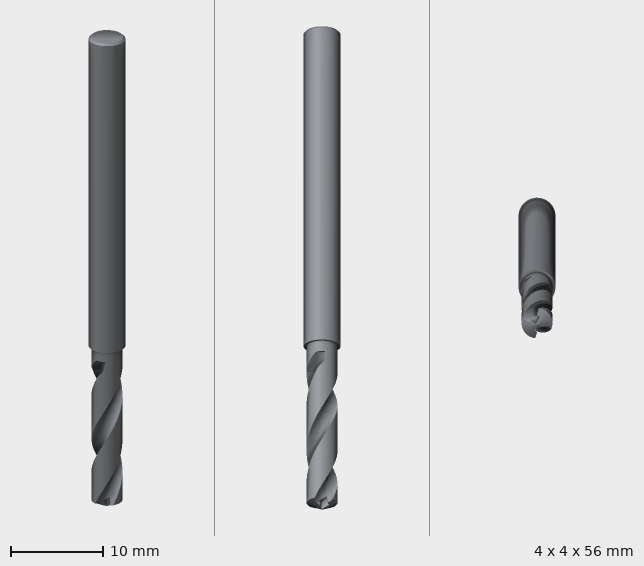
import cadquery as cq
import math

TOTAL_LENGTH = 56.0
SHANK_DIAMETER = 4.0
SHANK_START = 19.15
SHANK_CHAMFER = 0.2

DRILL_DIAMETER = 3.35
DRILL_RADIUS = DRILL_DIAMETER / 2
POINT_ANGLE = 130.0
POINT_HEIGHT = DRILL_RADIUS / math.tan(math.radians(POINT_ANGLE / 2))
CUTTING_LENGTH = 11.2

FLUTE_COUNT = 2
HELIX_ANGLE = 30.0
HELIX_PITCH = math.pi * DRILL_DIAMETER / math.tan(math.radians(HELIX_ANGLE))
FLUTE_RADIUS = 1.05
FLUTE_OFFSET = 1.7
FLUTE_START_ANGLE = 102.0
HELIX_END = 16.1
FLUTE_END = 17.9
RUNOUT_SHIFT = 1.85

GASH_WEB = 0.1
GASH_PEAK_X = 0.7
GASH_PEAK_HEIGHT = 1.35
GASH_SIDE_X = 0.85
GASH_SIDE_HEIGHT = 0.85


def make_flute(start_angle):
    """Cutter for one flute: a twisted round section with a straight, tangent run-out."""
    twist = 360 * HELIX_END / HELIX_PITCH
    base = cq.Wire.makeCircle(FLUTE_RADIUS, cq.Vector(FLUTE_OFFSET, 0, 0), cq.Vector(0, 0, 1))
    helix = cq.Solid.extrudeLinearWithRotation(
        base, [], cq.Vector(0, 0, 0), cq.Vector(0, 0, HELIX_END), twist
    )

    runout_height = FLUTE_END - HELIX_END
    section = cq.Wire.makeCircle(
        FLUTE_RADIUS, cq.Vector(FLUTE_OFFSET, 0, HELIX_END), cq.Vector(0, 0, 1)
    )
    runout = cq.Solid.extrudeLinear(section, [], cq.Vector(0, RUNOUT_SHIFT, runout_height))
    runout = runout.rotate(cq.Vector(0, 0, 0), cq.Vector(0, 0, 1), twist)

    cutter = cq.Workplane(helix).union(cq.Workplane(runout))
    return cutter.rotate((0, 0, 0), (0, 0, 1), start_angle)


def cut_flutes(body):
    """Cut the evenly spaced flutes into a body."""
    for index in range(FLUTE_COUNT):
        body = body.cut(make_flute(FLUTE_START_ANGLE + index * 360 / FLUTE_COUNT))
    return body


def make_gash(start_angle):
    """Cutter for one peaked gash running from its flat floor out past the drill diameter."""
    gash = (
        cq.Workplane("XZ", origin=(0, -GASH_WEB, 0))
        .polyline([
            (0, 0),
            (0, GASH_SIDE_HEIGHT),
            (GASH_PEAK_X, GASH_PEAK_HEIGHT),
            (GASH_SIDE_X, GASH_SIDE_HEIGHT),
            (GASH_SIDE_X, 0),
        ])
        .close()
        .extrude(DRILL_RADIUS)
    )
    return gash.rotate((0, 0, 0), (0, 0, 1), start_angle)


def make_cutting_body():
    """Fluted cutting end with its conical point and web-thinning gashes."""
    blank = (
        cq.Workplane("XZ")
        .polyline([
            (0, 0),
            (DRILL_RADIUS, POINT_HEIGHT),
            (DRILL_RADIUS, CUTTING_LENGTH),
            (0, CUTTING_LENGTH),
        ])
        .close()
        .revolve(360, (0, 0, 0), (0, 1, 0))
    )
    body = cut_flutes(blank)
    for index in range(FLUTE_COUNT):
        body = body.cut(make_gash(index * 360 / FLUTE_COUNT))
    return body


def make_shank_body():
    """Fluted neck and plain shank with a chamfered free end."""
    neck = (
        cq.Workplane("XY", origin=(0, 0, CUTTING_LENGTH))
        .circle(DRILL_RADIUS)
        .extrude(SHANK_START - CUTTING_LENGTH)
    )
    shank = (
        cq.Workplane("XY", origin=(0, 0, SHANK_START))
        .circle(SHANK_DIAMETER / 2)
        .extrude(TOTAL_LENGTH - SHANK_START)
        .faces(">Z")
        .chamfer(SHANK_CHAMFER)
    )
    return cut_flutes(neck).union(shank)


cutting_body = make_cutting_body()
shank_body = make_shank_body()

result = cq.Compound.makeCompound([cutting_body.val(), shank_body.val()])